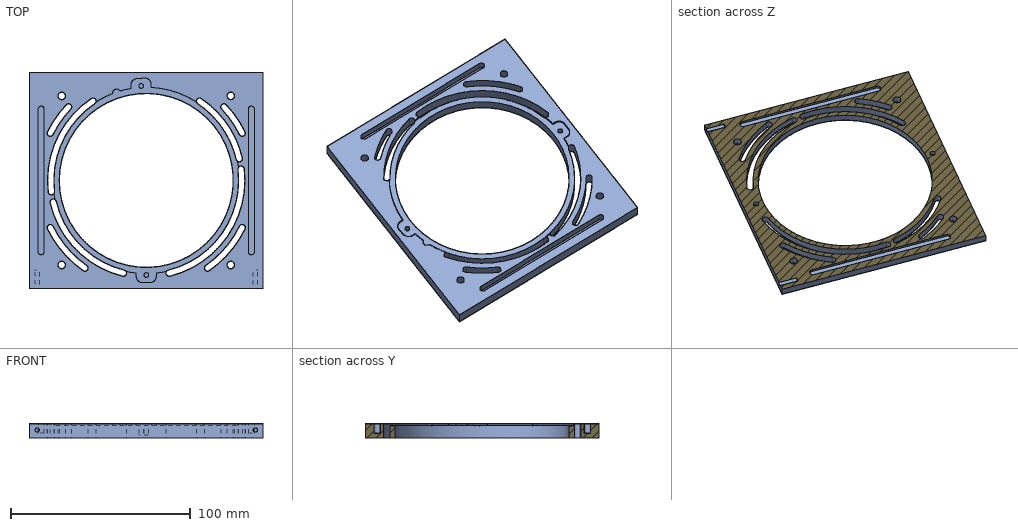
import cadquery as cq
import math

LENGTH = 130.0
WIDTH = 120.4
THICKNESS = 8.0
BORE_RADIUS = 48.4

RECESS_RADIUS = 51.9
RECESS_DEPTH = 1.0
LUG_WIDTH = 11.2
LUG_REACH = 57.0
LUG_CORNER_RADIUS = 3.5
LUG_ANGLES = (93.1, 270.0)
LUG_HOLE_RADIUS_FROM_CENTER = 52.6
LUG_HOLE_DIAMETER = 2.6
LUG_HOLE_DEPTH = 5.2
NOTCH_ANGLE = 108.7
NOTCH_RADIUS = 2.2
NOTCH_RADIUS_FROM_CENTER = 51.4

SLOT_WIDTH = 3.4
INNER_SLOT_RADIUS = 53.2
INNER_SLOT_SPANS = ((13.1, 56.1), (-76.2, 6.8), (123.9, 186.8), (193.1, 256.2))
OUTER_SLOT_RADIUS = 59.5
RIGHT_OUTER_SLOT_SPANS = ((26.2, 43.4), (-55.0, -26.2))

GROOVE_OFFSET = 58.5
GROOVE_LENGTH = 82.8
GROOVE_DEPTH = 5.2

CORNER_HOLE_OFFSET = 47.0
CORNER_HOLE_DIAMETER = 4.0
EDGE_HOLE_OFFSET = 60.7
EDGE_HOLE_HEIGHT = 4.5
EDGE_HOLE_DIAMETER = 2.3
EDGE_HOLE_DEPTH = 10.4


def polar(radius, angle):
    """Point at a radius and an angle in degrees around the bore axis."""
    return radius * math.cos(math.radians(angle)), radius * math.sin(math.radians(angle))


def curved_slot(radius, start, end):
    """Through cutter for a round-ended slot that follows an arc about the bore axis."""
    inner = radius - SLOT_WIDTH / 2
    outer = radius + SLOT_WIDTH / 2
    middle = (start + end) / 2
    band = (
        cq.Workplane("XY")
        .moveTo(*polar(inner, start))
        .threePointArc(polar(inner, middle), polar(inner, end))
        .lineTo(*polar(outer, end))
        .threePointArc(polar(outer, middle), polar(outer, start))
        .close()
        .extrude(THICKNESS)
    )
    ends = (
        cq.Workplane("XY")
        .pushPoints([polar(radius, start), polar(radius, end)])
        .circle(SLOT_WIDTH / 2)
        .extrude(THICKNESS)
    )
    return band.union(ends)


def lug(angle):
    """Recess cutter for one lug, a tongue with rounded outer corners pointing outward."""
    return (
        cq.Workplane("XY", origin=(0, 0, THICKNESS - RECESS_DEPTH))
        .center(LUG_REACH - LUG_WIDTH / 2, 0)
        .rect(LUG_WIDTH, LUG_WIDTH)
        .extrude(RECESS_DEPTH)
        .edges("|Z and >X")
        .fillet(LUG_CORNER_RADIUS)
        .rotate((0, 0, 0), (0, 0, 1), angle)
    )


plate = cq.Workplane("XY").box(LENGTH, WIDTH, THICKNESS, centered=(True, True, False))
plate = plate.faces(">Z").workplane().hole(2 * BORE_RADIUS)

recess_floor = cq.Workplane("XY", origin=(0, 0, THICKNESS - RECESS_DEPTH))
recess = recess_floor.circle(RECESS_RADIUS).extrude(RECESS_DEPTH)
notch_center = polar(NOTCH_RADIUS_FROM_CENTER, NOTCH_ANGLE)
notch = recess_floor.pushPoints([notch_center]).circle(NOTCH_RADIUS).extrude(RECESS_DEPTH)
recess = recess.union(notch)
for lug_angle in LUG_ANGLES:
    recess = recess.union(lug(lug_angle))
plate = plate.cut(recess)

lug_hole_centers = [polar(LUG_HOLE_RADIUS_FROM_CENTER, angle) for angle in LUG_ANGLES]
lug_holes = recess_floor.pushPoints(lug_hole_centers).circle(LUG_HOLE_DIAMETER / 2).extrude(-LUG_HOLE_DEPTH)
plate = plate.cut(lug_holes)

for start_angle, end_angle in INNER_SLOT_SPANS:
    plate = plate.cut(curved_slot(INNER_SLOT_RADIUS, start_angle, end_angle))
for start_angle, end_angle in RIGHT_OUTER_SLOT_SPANS:
    right_slot = curved_slot(OUTER_SLOT_RADIUS, start_angle, end_angle)
    plate = plate.cut(right_slot).cut(right_slot.mirror("YZ"))

grooves = (
    cq.Workplane("XY", origin=(0, 0, THICKNESS))
    .pushPoints([(-GROOVE_OFFSET, 0), (GROOVE_OFFSET, 0)])
    .slot2D(GROOVE_LENGTH, SLOT_WIDTH, 90)
    .extrude(-GROOVE_DEPTH)
)
plate = plate.cut(grooves)

corner_holes = (
    cq.Workplane("XY")
    .rect(2 * CORNER_HOLE_OFFSET, 2 * CORNER_HOLE_OFFSET, forConstruction=True)
    .vertices()
    .circle(CORNER_HOLE_DIAMETER / 2)
    .extrude(THICKNESS)
)
plate = plate.cut(corner_holes)

edge_holes = (
    cq.Workplane("XZ", origin=(0, -WIDTH / 2, 0))
    .pushPoints([(-EDGE_HOLE_OFFSET, EDGE_HOLE_HEIGHT), (EDGE_HOLE_OFFSET, EDGE_HOLE_HEIGHT)])
    .circle(EDGE_HOLE_DIAMETER / 2)
    .extrude(-EDGE_HOLE_DEPTH)
)
result = plate.cut(edge_holes)